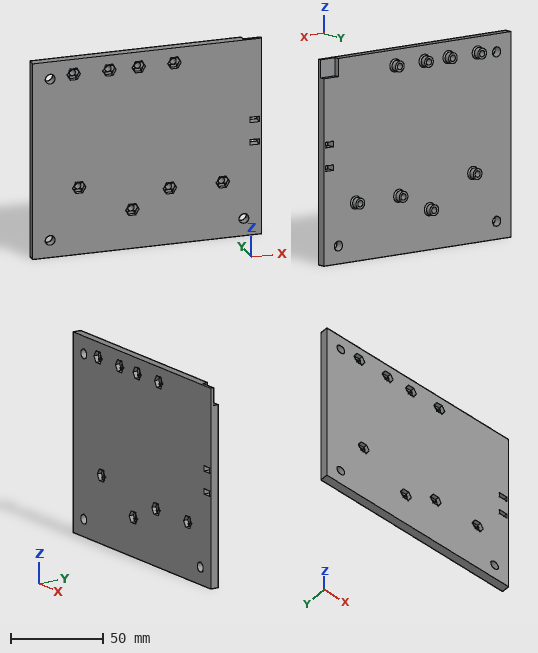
import cadquery as cq
import math

plate_width = 130.0
plate_height = 113.5
plate_thickness = 5.0
total_depth = 9.0

notch_size = 10.0
notch_depth = 3.0

mount_hole_diameter = 5.5
mount_hole_inset = 10.0

slot_width = 5.2
slot_height = 3.0
slot_edge_gap = 1.3
slot_spacing = 13.0
slot_pair_height = 60.2

standoff_diameter = 6.0
standoff_foot = 0.6
standoff_foot_height = 1.0
screw_hole_diameter = 3.5
nut_across_flats = 6.5
nut_depth = 2.2

upright_depth = 0.3
cross_depth = 0.5

top_row_height = 104.8
top_row_x = (23.4, 43.7, 60.3, 80.6)
low_pair_height = 32.5
standoff_centres = [(x, top_row_height) for x in top_row_x] + [
    (26.5, 38.7),
    (56.7, 22.5),
    (78.0, low_pair_height),
    (108.0, low_pair_height),
]


def box(x, y, z, width, depth, height):
    """Box whose lowest corner is at (x, y, z)."""
    return cq.Workplane("XY").box(width, depth, height, centered=False).translate((x, y, z))


def section(x, z, y):
    """Sketch plane centred on (x, z) at depth y, extruding toward the back (+Y)."""
    return cq.Workplane(cq.Plane(origin=(x, y, z), xDir=(1, 0, 0), normal=(0, 1, 0)))


def standoff(x, z):
    """Round post with a conical foot where it meets the plate."""
    radius = standoff_diameter / 2
    post = section(x, z, plate_thickness).circle(radius).extrude(total_depth - plate_thickness)
    foot = cq.Solid.makeCone(
        radius + standoff_foot,
        radius,
        standoff_foot_height,
        pnt=cq.Vector(x, plate_thickness, z),
        dir=cq.Vector(0, 1, 0),
    )
    return post.union(cq.Workplane(foot))


def nut_pocket(x, z):
    """Hexagonal pocket with two shallow crossed slots in its floor and a round screw hole."""
    across_corners = nut_across_flats / math.cos(math.pi / 6)
    outline = section(x, z, 0).polygon(6, across_corners).extrude(total_depth)
    hexagon = section(x, z, 0).polygon(6, across_corners).extrude(nut_depth)
    upright_slot = section(x, z, nut_depth).rect(screw_hole_diameter, nut_across_flats).extrude(upright_depth)
    cross_slot = section(x, z, nut_depth).rect(across_corners, screw_hole_diameter).extrude(cross_depth)
    hole = section(x, z, 0).circle(screw_hole_diameter / 2).extrude(total_depth)
    slots = upright_slot.union(cross_slot).intersect(outline)
    return hexagon.union(slots).union(hole)


result = box(0, 0, 0, plate_width, plate_thickness, plate_height)
result = result.cut(
    box(
        plate_width - notch_size,
        plate_thickness - notch_depth,
        plate_height - notch_size,
        notch_size,
        notch_depth,
        notch_size,
    )
)

left = mount_hole_inset
right = plate_width - mount_hole_inset
low = mount_hole_inset
high = plate_height - mount_hole_inset
for x, z in [(left, low), (left, high), (right, low)]:
    result = result.cut(section(x, z, 0).circle(mount_hole_diameter / 2).extrude(plate_thickness))

slot_x = plate_width - slot_edge_gap - slot_width
for side in (-1, 1):
    slot_z = slot_pair_height + side * slot_spacing / 2 - slot_height / 2
    result = result.cut(box(slot_x, 0, slot_z, slot_width, plate_thickness, slot_height))

for x, z in standoff_centres:
    result = result.union(standoff(x, z)).cut(nut_pocket(x, z))